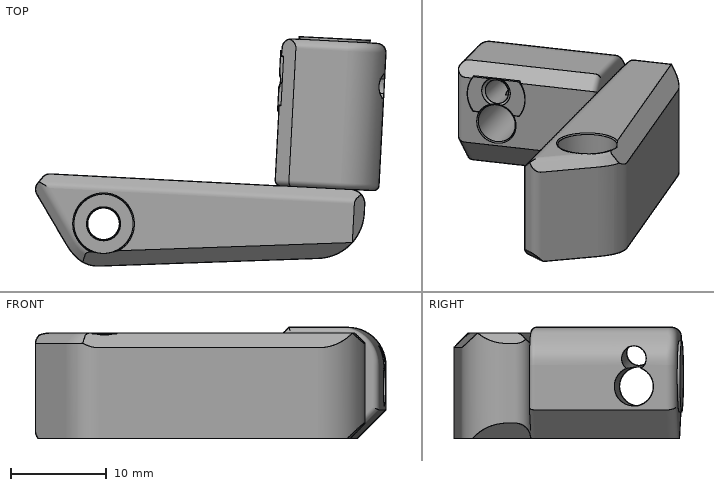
import cadquery as cq
import math

PART_TURN = -3.0

ARM_HEIGHT = 11.05
BACK_ANGLE, BACK_DIST = 90.0, 4.93
FACET_ANGLE, FACET_DIST = 143.0, 8.01
LEFT_ANGLE, LEFT_DIST = 213.4, 4.46
FRONT_ANGLE, FRONT_DIST = 275.0, 4.42
END_ANGLE, END_DIST = 360.0, 27.2

BACK_CORNER_RADIUS = 1.0
FACET_CORNER_RADIUS = 1.0
SCREW_CORNER_EXTRA = 1.15
SCREW_CORNER_JOIN_ANGLE = 232.0
FRONT_CORNER_RADIUS = 5.0
END_CORNER_RADIUS = 1.5

TOP_CHAMFER = 1.1
FRONT_CHAMFER = 1.55
FACET_BOTTOM_CHAMFER = 0.9
CHAMFER_ANGLE = 45.0
BLEND_RADIUS = 1.0

SCREW_HOLE_DIA = 3.3
HEAD_DIA = 6.2
HEAD_DEPTH = 6.0
RIM_CHAMFER = 0.13

BLOCK_LEFT = 17.69
BLOCK_RIGHT = 28.59
BLOCK_BACK = 20.36
BLOCK_HEIGHT = 11.65
BLOCK_TOP_RADIUS = 4.0
BLOCK_TOP_CHAMFER = 1.45
BLOCK_BOTTOM_CHAMFER = 3.0
BLOCK_BACK_FILLET = 1.0
BLOCK_FRONT_FILLET = 0.6

CROSS_HOLE_Y = 15.9
LARGE_HOLE_DIA = 4.08
LARGE_HOLE_Z = 5.45
SMALL_HOLE_DIA = 2.56
SMALL_HOLE_Z = 8.95
SMALL_HOLE_DROP = 3.0
SMALL_RIM_CHAMFER = 0.3

LEFT_PAD_DIA = 6.36
LEFT_PAD_HEIGHT = 3.84
LEFT_PAD_Z = 8.49
LEFT_PAD_RAISE = 0.13
BACK_PAD_DIA = 7.46
BACK_PAD_Z = 6.5
BACK_PAD_RAISE = 0.28

REACH = 60.0
MARGIN = 1.0


def face_crossing(face_a, face_b):
    """Point where two upright faces, each (normal angle, distance), cross."""
    angle_a, dist_a = math.radians(face_a[0]), face_a[1]
    angle_b, dist_b = math.radians(face_b[0]), face_b[1]
    det = math.sin(angle_b - angle_a)
    x = (dist_a * math.sin(angle_b) - dist_b * math.sin(angle_a)) / det
    y = (dist_b * math.cos(angle_a) - dist_a * math.cos(angle_b)) / det
    return x, y


def polar(center, radius, angle):
    """Point at the given radius and angle (degrees) about a center."""
    turn = math.radians(angle)
    return center[0] + radius * math.cos(turn), center[1] + radius * math.sin(turn)


def chamfer_section(dist, size, blend):
    """Waste above the chamfer on the top edge of a face at X = dist, rounded at its inner end."""
    full = math.radians(CHAMFER_ANGLE)
    half = full / 2
    setback = blend * math.tan(half)
    inner = dist - size - setback
    top = ARM_HEIGHT
    section = cq.Workplane("XZ").moveTo(inner, top)
    if blend:
        middle = (inner + blend * math.sin(half), top - blend * (1 - math.cos(half)))
        finish = (inner + blend * math.sin(full), top - blend * (1 - math.cos(full)))
        section = section.threePointArc(middle, finish)
    outer = dist + MARGIN
    return (
        section.lineTo(outer, top - size - MARGIN)
        .lineTo(outer, top + MARGIN)
        .lineTo(inner, top + MARGIN)
        .close()
    )


def top_chamfer(angle, dist, size, blend=0.0):
    """Cutter for the top edge of the face with the given normal angle."""
    cutter = chamfer_section(dist, size, blend).extrude(REACH, both=True)
    return cutter.rotate((0, 0, 0), (0, 0, 1), angle)


def bottom_chamfer(angle, dist, size):
    """Cutter for the bottom edge of the face with the given normal angle."""
    cutter = (
        cq.Workplane("XZ")
        .moveTo(dist - size - MARGIN, -MARGIN)
        .lineTo(dist + MARGIN, size + MARGIN)
        .lineTo(dist + MARGIN, -MARGIN)
        .close()
        .extrude(REACH, both=True)
    )
    return cutter.rotate((0, 0, 0), (0, 0, 1), angle)


def screw_corner_chamfer():
    """Cutter that carries the left chamfer round the corner at the screw hole."""
    section = chamfer_section(LEFT_ARC_RADIUS, TOP_CHAMFER, BLEND_RADIUS)
    cutter = section.revolve(FRONT_ANGLE - LEFT_ANGLE, (0, 0, 0), (0, 1, 0))
    return cutter.rotate((0, 0, 0), (0, 0, 1), LEFT_ANGLE).translate((*LEFT_ARC_CENTER, 0))


LEFT_ARC_RADIUS = LEFT_DIST + SCREW_CORNER_EXTRA
LEFT_ARC_CENTER = polar((0, 0), -SCREW_CORNER_EXTRA, LEFT_ANGLE)
front_reach = FRONT_DIST + SCREW_CORNER_EXTRA * math.cos(math.radians(FRONT_ANGLE - LEFT_ANGLE))
turn_cosine = math.cos(math.radians(FRONT_ANGLE - SCREW_CORNER_JOIN_ANGLE))
FRONT_ARC_RADIUS = (front_reach - LEFT_ARC_RADIUS * turn_cosine) / (1 - turn_cosine)
FRONT_ARC_CENTER = polar(LEFT_ARC_CENTER, LEFT_ARC_RADIUS - FRONT_ARC_RADIUS, SCREW_CORNER_JOIN_ANGLE)


def make_arm():
    """Tapered upright bar with rounded corners and chamfered top edges."""
    back = (BACK_ANGLE, BACK_DIST)
    facet = (FACET_ANGLE, FACET_DIST)
    left = (LEFT_ANGLE, LEFT_DIST)
    front = (FRONT_ANGLE, FRONT_DIST)
    end = (END_ANGLE, END_DIST)
    corners = [
        (face_crossing(front, end), FRONT_CORNER_RADIUS),
        (face_crossing(end, back), END_CORNER_RADIUS),
        (face_crossing(back, facet), BACK_CORNER_RADIUS),
        (face_crossing(facet, left), FACET_CORNER_RADIUS),
    ]
    arc_join = polar(LEFT_ARC_CENTER, LEFT_ARC_RADIUS, SCREW_CORNER_JOIN_ANGLE)
    left_arc_middle = (LEFT_ANGLE + SCREW_CORNER_JOIN_ANGLE) / 2
    front_arc_middle = (SCREW_CORNER_JOIN_ANGLE + FRONT_ANGLE) / 2
    outline = (
        cq.Workplane("XY")
        .moveTo(*polar(LEFT_ARC_CENTER, LEFT_ARC_RADIUS, LEFT_ANGLE))
        .threePointArc(polar(LEFT_ARC_CENTER, LEFT_ARC_RADIUS, left_arc_middle), arc_join)
        .threePointArc(
            polar(FRONT_ARC_CENTER, FRONT_ARC_RADIUS, front_arc_middle),
            polar(FRONT_ARC_CENTER, FRONT_ARC_RADIUS, FRONT_ANGLE),
        )
    )
    for point, _ in corners:
        outline = outline.lineTo(*point)
    arm = outline.close().extrude(ARM_HEIGHT)
    for (x, y), radius in corners:
        upright = cq.selectors.NearestToPointSelector((x, y, ARM_HEIGHT / 2))
        arm = arm.edges(upright).fillet(radius)

    arm = arm.cut(top_chamfer(*back, TOP_CHAMFER, BLEND_RADIUS))
    arm = arm.cut(top_chamfer(*left, TOP_CHAMFER, BLEND_RADIUS))
    arm = arm.cut(screw_corner_chamfer())
    arm = arm.cut(top_chamfer(*front, FRONT_CHAMFER))
    arm = arm.cut(top_chamfer(*end, TOP_CHAMFER))
    arm = arm.cut(bottom_chamfer(*facet, FACET_BOTTOM_CHAMFER))
    return arm.cut(bottom_chamfer(END_ANGLE, BLOCK_RIGHT, BLOCK_BOTTOM_CHAMFER))


def screw_hole():
    """Counterbored screw hole with its rims eased."""
    floor = ARM_HEIGHT - HEAD_DEPTH
    hole_radius = SCREW_HOLE_DIA / 2
    head_radius = HEAD_DIA / 2
    section = [
        (0, 0),
        (hole_radius + RIM_CHAMFER, 0),
        (hole_radius, RIM_CHAMFER),
        (hole_radius, floor - RIM_CHAMFER),
        (hole_radius + RIM_CHAMFER, floor),
        (head_radius, floor),
        (head_radius, ARM_HEIGHT - RIM_CHAMFER),
        (head_radius + RIM_CHAMFER, ARM_HEIGHT),
        (0, ARM_HEIGHT),
    ]
    return cq.Workplane("XZ").polyline(section).close().revolve(360, (0, 0, 0), (0, 1, 0))


def make_block():
    """Block standing behind the end of the arm, with a rounded top right edge."""
    arc_x = BLOCK_RIGHT - BLOCK_TOP_RADIUS
    arc_z = BLOCK_HEIGHT - BLOCK_TOP_RADIUS
    arc_middle = polar((arc_x, arc_z), BLOCK_TOP_RADIUS, 45)
    block = (
        cq.Workplane("XZ", origin=(0, BACK_DIST, 0))
        .moveTo(BLOCK_LEFT + BLOCK_BOTTOM_CHAMFER, 0)
        .lineTo(BLOCK_RIGHT - BLOCK_BOTTOM_CHAMFER, 0)
        .lineTo(BLOCK_RIGHT, BLOCK_BOTTOM_CHAMFER)
        .lineTo(BLOCK_RIGHT, arc_z)
        .threePointArc(arc_middle, (arc_x, BLOCK_HEIGHT))
        .lineTo(BLOCK_LEFT, BLOCK_HEIGHT)
        .lineTo(BLOCK_LEFT, BLOCK_BOTTOM_CHAMFER)
        .close()
        .extrude(BACK_DIST - BLOCK_BACK)
    )
    block = block.faces(">Y").edges("not <Z").fillet(BLOCK_BACK_FILLET)
    top_left_waste = (
        cq.Workplane("XZ")
        .moveTo(BLOCK_LEFT - MARGIN, BLOCK_HEIGHT - BLOCK_TOP_CHAMFER - MARGIN)
        .lineTo(BLOCK_LEFT + BLOCK_TOP_CHAMFER + MARGIN, BLOCK_HEIGHT + MARGIN)
        .lineTo(BLOCK_LEFT - MARGIN, BLOCK_HEIGHT + MARGIN)
        .close()
        .extrude(REACH, both=True)
    )
    block = block.cut(top_left_waste)
    return block.faces("<Y").edges("not <Z").fillet(BLOCK_FRONT_FILLET)


def left_pad():
    """Flat-topped and flat-bottomed round pad on the left face of the block."""
    disc = (
        cq.Workplane("YZ", origin=(BLOCK_LEFT - LEFT_PAD_RAISE, CROSS_HOLE_Y, LEFT_PAD_Z))
        .circle(LEFT_PAD_DIA / 2)
        .extrude(LEFT_PAD_RAISE + MARGIN)
    )
    band = cq.Workplane("XY").box(REACH, REACH, LEFT_PAD_HEIGHT).translate((0, 0, LEFT_PAD_Z))
    return disc.intersect(band)


def back_pad():
    """Round pad on the back face of the block."""
    middle_x = (BLOCK_LEFT + BLOCK_RIGHT) / 2
    return (
        cq.Workplane("XZ", origin=(middle_x, BLOCK_BACK + BACK_PAD_RAISE, BACK_PAD_Z))
        .circle(BACK_PAD_DIA / 2)
        .extrude(BACK_PAD_RAISE + MARGIN)
    )


def cross_hole(mouth_x, z, dia, rim_chamfer, drop=0.0):
    """Hole through the block along X, eased at its left mouth."""
    radius = dia / 2
    section = [
        (-MARGIN, 0),
        (-MARGIN, radius + rim_chamfer),
        (0, radius + rim_chamfer),
        (rim_chamfer, radius),
        (REACH, radius),
        (REACH, 0),
    ]
    hole = cq.Workplane("XY").polyline(section).close().revolve(360, (0, 0, 0), (1, 0, 0))
    hole = hole.rotate((0, 0, 0), (0, 1, 0), drop)
    return hole.translate((mouth_x, CROSS_HOLE_Y, z))


block = make_block().union(left_pad()).union(back_pad())
block = block.cut(cross_hole(BLOCK_LEFT, LARGE_HOLE_Z, LARGE_HOLE_DIA, RIM_CHAMFER))
small_mouth_x = BLOCK_LEFT - LEFT_PAD_RAISE
small_hole = cross_hole(small_mouth_x, SMALL_HOLE_Z, SMALL_HOLE_DIA, SMALL_RIM_CHAMFER, SMALL_HOLE_DROP)
block = block.cut(small_hole)

arm = make_arm().cut(screw_hole())

result = arm.union(block).rotate((0, 0, 0), (0, 0, 1), PART_TURN)